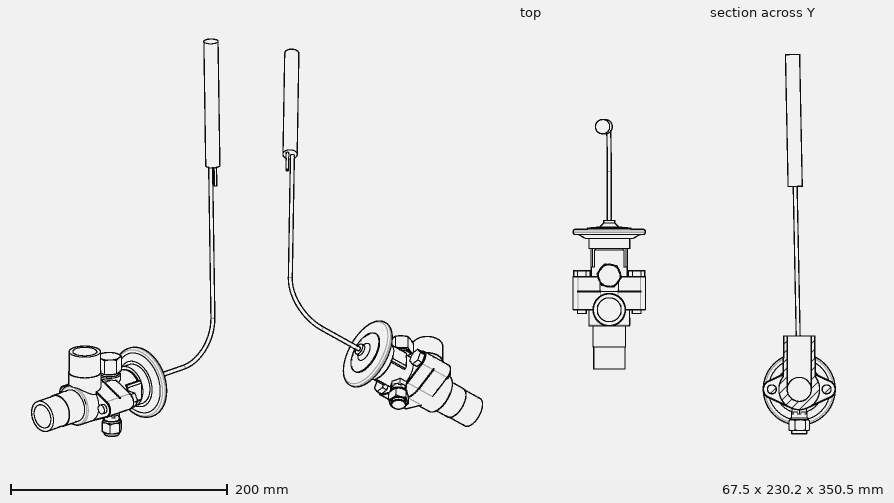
import cadquery as cq
import math


tube_dia = 30.0
tube_end_dia = 29.0
tube_bore_dia = 22.0
tube_end_length = 20.5
bore_depth = 66.5
inlet_y = 54.5
inlet_top = 49.5

body_dia = 38.0
body_front = 39.5
body_edge_fillet = 1.0
flange_front = 54.3
flange_back = 85.5
flange_split = 71.5
flange_chamfer = 0.7
ear_spacing = 50.5
ear_radius = 8.5
rear_half_top = 16.8
groove_width = 0.7
groove_depth = 0.53

bolt_dia = 8.5
bolt_protrusion = 3.0
bolt_head_size = 13.3
bolt_head_height = 5.3

neck_dia = 33.3
neck_back = 111.0
relief_dia = 32.0
relief_width = 1.5
pad_width = 34.0
pad_height = 19.3
pad_front = 94.0
pad_chamfer = 1.8

collar_back = 120.2
dish_radius = 29.8
dish_edge_y = 124.8
dish_foot_radius = 21.7
rim_radius = 33.3
rim_front = 124.0
rim_back = 129.0
rim_fillet = 1.8
cover_radius = 20.0
cover_back = 130.0
knob_base_radius = 8.8
knob_base_y = 131.0
knob_tip_radius = 5.3
knob_shoulder_y = 134.5
knob_back = 137.0

cap_y = 86.2
cap_bottom = 21.7
cap_top = 36.5
cap_flats = 20.0
cap_turn = -8
cap_corner_drop = 0.7
cap_neck_dia = 18.2
cap_boss_dia = 21.0
cap_boss_top = 19.5
cap_boss_chamfer = 1.0

fitting_y = 89.5
shank_flats = 13.3
shank_turn = 90
shank_bottom = -22.8
fitting_neck_dia = 14.0
ring_dia = 16.0
ring_top = -26.3
nut_top = -28.0
nut_bottom = -38.2
nut_flats = 16.5
nut_turn = 6
nut_corner_drop = 0.88
fitting_bottom = -41.5
fitting_chamfer = 0.7

overall_height = 350.5
lean_angle = 1.15
capillary_dia = 4.0
bend_radius = 38.5
riser_y = 220.8
bulb_dia = 13.3
bulb_y = 223.5
bulb_bottom = 187.0
stub_dia = 2.5
stub_y = 226.8
stub_bottom = 166.5

overlap = 1.8


def y_cylinder(diameter, start, end, x=0):
    plane = cq.Workplane("XZ", origin=(x, start, 0))
    return plane.circle(diameter / 2).extrude(start - end)


def z_cylinder(diameter, bottom, top, y):
    return cq.Workplane("XY", origin=(0, y, bottom)).circle(diameter / 2).extrude(top - bottom)


def hex_across_corners(across_flats):
    return across_flats / math.cos(math.radians(30))


def z_hexagon(across_flats, bottom, top, y, turn):
    plane = cq.Workplane("XY", origin=(0, y, bottom)).transformed(rotate=(0, 0, turn))
    return plane.polygon(6, hex_across_corners(across_flats)).extrude(top - bottom)


def z_nut(across_flats, bottom, top, y, turn, corner_drop):
    """Hexagon whose corners are turned down to the across-flats circle at both ends."""
    corner_dia = hex_across_corners(across_flats)
    corner_width = (corner_dia - across_flats) / 2
    blank = (
        z_cylinder(corner_dia, bottom, top, y)
        .faces("<Z or >Z")
        .chamfer(corner_drop, corner_width)
    )
    return z_hexagon(across_flats, bottom, top, y, turn).intersect(blank)


def stepped_tube(length):
    """Tube along +Z from the origin, slightly slimmer at its open end."""
    tube = z_cylinder(tube_dia, 0, length - tube_end_length, 0)
    return tube.union(z_cylinder(tube_end_dia, 0, length, 0))


def flange_blank(start, end, inset=0):
    """Rhombic flange: two ear circles joined by common tangents to the body circle."""
    center_radius = body_dia / 2 - inset
    end_radius = ear_radius - inset
    ear_x = ear_spacing / 2
    slope = math.acos((center_radius - end_radius) / ear_x)
    along, across = math.cos(slope), math.sin(slope)
    ear_tangent = (ear_x + end_radius * along, end_radius * across)
    body_tangent = (center_radius * along, center_radius * across)
    return (
        cq.Workplane("XZ", origin=(0, start, 0))
        .moveTo(ear_tangent[0], -ear_tangent[1])
        .threePointArc((ear_x + end_radius, 0), ear_tangent)
        .lineTo(*body_tangent)
        .threePointArc((0, center_radius), (-body_tangent[0], body_tangent[1]))
        .lineTo(-ear_tangent[0], ear_tangent[1])
        .threePointArc((-ear_x - end_radius, 0), (-ear_tangent[0], -ear_tangent[1]))
        .lineTo(-body_tangent[0], -body_tangent[1])
        .threePointArc((0, -center_radius), (body_tangent[0], -body_tangent[1]))
        .close()
        .extrude(start - end)
    )


def make_flange():
    flange = flange_blank(flange_front, flange_back).faces("<Y or >Y").chamfer(flange_chamfer)

    rear_length = flange_back - flange_split
    top_cut = cq.Workplane("XY", origin=(0, flange_split, rear_half_top)).box(
        body_dia, rear_length, body_dia, centered=(True, False, False)
    )

    groove_start = flange_split - groove_width / 2
    groove_end = flange_split + groove_width / 2
    joint_groove = (
        cq.Workplane("XY", origin=(0, flange_split, 0))
        .box(ear_spacing + ear_radius, groove_width, 2 * body_dia)
        .cut(flange_blank(groove_start, groove_end, groove_depth))
    )
    return flange.cut(top_cut).cut(joint_groove)


def make_bolt(x):
    head_plane = cq.Workplane("XZ", origin=(x, flange_back - overlap, 0))
    head_length = bolt_head_height + overlap
    head = head_plane.polygon(6, hex_across_corners(bolt_head_size)).extrude(-head_length)
    end = y_cylinder(bolt_dia, flange_front - bolt_protrusion, flange_front + overlap, x)
    return head.union(end)


def make_neck():
    neck = y_cylinder(neck_dia, flange_back - overlap, neck_back - relief_width)
    relief = y_cylinder(relief_dia, neck_back - relief_width - overlap, neck_back + overlap)
    pads = (
        cq.Workplane("XY", origin=(0, pad_front, 0))
        .box(pad_width, neck_back - pad_front, pad_height, centered=(True, False, True))
        .edges("|Y")
        .chamfer(pad_chamfer)
    )
    return neck.union(relief).union(pads)


def make_power_element():
    collar_radius = body_dia / 2
    profile = [
        (0, neck_back),
        (collar_radius, neck_back),
        (collar_radius, collar_back),
        (dish_foot_radius, collar_back),
        (dish_radius, dish_edge_y),
        (dish_radius, rim_back),
        (cover_radius, rim_back),
        (cover_radius, cover_back),
        (knob_base_radius, knob_base_y),
        (knob_tip_radius, knob_shoulder_y),
        (knob_tip_radius, knob_back),
        (0, knob_back),
    ]
    element = cq.Workplane("XY").polyline(profile).close().revolve(360, (0, 0), (0, 1))
    rim_disc = y_cylinder(2 * rim_radius, rim_front, rim_back).edges().fillet(rim_fillet)
    rim = rim_disc.cut(y_cylinder(2 * (dish_radius - overlap), rim_front, rim_back))
    return element.union(rim)


def make_cap():
    boss = z_cylinder(cap_boss_dia, 0, cap_boss_top, cap_y).faces(">Z").chamfer(cap_boss_chamfer)
    neck = z_cylinder(cap_neck_dia, 0, cap_bottom + overlap, cap_y)
    head = z_nut(cap_flats, cap_bottom, cap_top, cap_y, cap_turn, cap_corner_drop)
    return boss.union(neck).union(head)


def make_fitting():
    shank = z_hexagon(shank_flats, shank_bottom, 0, fitting_y, shank_turn)
    ring = z_cylinder(ring_dia, nut_top - overlap, ring_top, fitting_y)
    nut = z_nut(nut_flats, nut_bottom, nut_top, fitting_y, nut_turn, nut_corner_drop)
    core = (
        z_cylinder(fitting_neck_dia, fitting_bottom, shank_bottom + overlap, fitting_y)
        .faces("<Z")
        .chamfer(fitting_chamfer)
    )
    return shank.union(ring).union(nut).union(core)


def make_sensor():
    lean = math.radians(lean_angle)
    leaning_top = fitting_bottom + overall_height
    bulb_top = (leaning_top - bulb_dia / 2 * math.sin(lean)) / math.cos(lean)

    bend_start = riser_y - bend_radius
    path = (
        cq.Workplane("YZ")
        .moveTo(knob_back - overlap, 0)
        .lineTo(bend_start, 0)
        .radiusArc((riser_y, bend_radius), -bend_radius)
        .lineTo(riser_y, bulb_bottom + overlap)
    )
    start_plane = cq.Workplane("XZ", origin=(0, knob_back - overlap, 0))
    capillary = start_plane.circle(capillary_dia / 2).sweep(path)
    bulb = z_cylinder(bulb_dia, bulb_bottom, bulb_top, bulb_y)
    stub = z_cylinder(stub_dia, stub_bottom, bulb_bottom + overlap, stub_y)
    sensor = capillary.union(bulb).union(stub)
    return sensor.rotate((0, 0, 0), (0, 1, 0), -lean_angle)


body = y_cylinder(body_dia, body_front, flange_split).faces("<Y").edges().fillet(body_edge_fillet)

inlet = stepped_tube(inlet_top).translate((0, inlet_y, 0))
outlet_length = body_front + overlap
outlet = stepped_tube(outlet_length).rotate((0, 0, 0), (1, 0, 0), 90).translate((0, outlet_length, 0))

result = make_flange().union(body).union(inlet).union(outlet)
for bolt_x in (-ear_spacing / 2, ear_spacing / 2):
    result = result.union(make_bolt(bolt_x))
result = result.union(make_neck()).union(make_power_element()).union(make_cap())
result = result.union(make_fitting()).union(make_sensor())

result = result.cut(y_cylinder(tube_bore_dia, 0, bore_depth))
result = result.cut(z_cylinder(tube_bore_dia, 0, inlet_top, inlet_y))